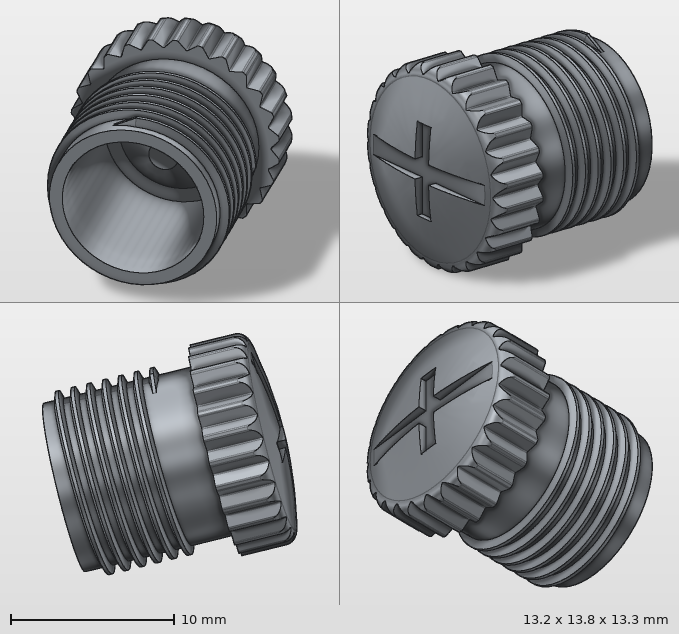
import cadquery as cq
import math


head_radius = 6.65
tooth_count = 26
tooth_root_radius = 6.07
tooth_tip_half_width = 0.15
tooth_tip_rounding = 0.15
tooth_root_rounding = 0.08
dome_apex_height = 4.235
rim_height = 3.55
rim_rounding = 0.75

slot_width = 1.33
slot_floor_height = 3.65
short_slot_length = 6.2

shank_length = 9.6
shank_radius = 5.32
bore_radius = 4.5
bore_floor_height = 0.0

cone_base_radius = 3.58
cone_tip_radius = 0.94
cone_height = cone_base_radius - cone_tip_radius

thread_radius = 5.85
thread_pitch = 1.0
thread_turns = 6.25
thread_crest_width = 0.22
thread_base_width = 0.58
thread_embed = 0.15
thread_start_height = -8.8
runout_length = 1.55
runout_drop = 0.78


def polar(radius, angle):
    return radius * math.cos(angle), radius * math.sin(angle)


def make_head_blank():
    """Disc with a rounded rim and a shallow dome spanning the flat inside that rim."""
    dome_edge_radius = head_radius - rim_rounding
    sag = dome_apex_height - rim_height
    dome_radius = (dome_edge_radius**2 + sag**2) / (2 * sag)
    mid_radius = dome_edge_radius / 2
    mid_drop = dome_radius - math.sqrt(dome_radius**2 - mid_radius**2)
    arc_offset = rim_rounding * math.sin(math.pi / 4)
    rim_middle = (dome_edge_radius + arc_offset, rim_height - rim_rounding + arc_offset)
    profile = (
        cq.Workplane("XZ")
        .lineTo(head_radius, 0)
        .lineTo(head_radius, rim_height - rim_rounding)
        .threePointArc(rim_middle, (dome_edge_radius, rim_height))
        .threePointArc((mid_radius, dome_apex_height - mid_drop), (0, dome_apex_height))
        .close()
    )
    return profile.revolve(360, (0, 0, 0), (0, 1, 0))


def make_tooth_prism():
    """Toothed prism with rounded tips and roots; one tooth points along local +Y."""
    pitch_angle = 2 * math.pi / tooth_count
    tip_angle = math.atan2(tooth_tip_half_width, head_radius)
    tip_corner_radius = math.hypot(tooth_tip_half_width, head_radius)
    points = []
    for index in range(tooth_count):
        centre = math.pi / 2 + index * pitch_angle
        points.append(polar(tooth_root_radius, centre - pitch_angle / 2))
        points.append(polar(tip_corner_radius, centre - tip_angle))
        points.append(polar(tip_corner_radius, centre + tip_angle))
    prism = cq.Workplane("XY").polyline(points).close().extrude(dome_apex_height)

    middle_radius = (head_radius + tooth_root_radius) / 2

    def is_tip(edge):
        centre = edge.Center()
        return math.hypot(centre.x, centre.y) > middle_radius

    def is_sharp_root(edge):
        centre = edge.Center()
        return math.hypot(centre.x, centre.y) < tooth_root_radius + tooth_root_rounding / 2

    prism = prism.edges("|Z").filter(is_tip).fillet(tooth_tip_rounding)
    return prism.edges("|Z").filter(is_sharp_root).fillet(tooth_root_rounding)


def make_slots():
    """Slot across the whole dome, crossed by a shorter one of the same width and floor."""
    slot_depth = dome_apex_height - slot_floor_height
    plane = cq.Workplane("XY").workplane(offset=slot_floor_height)
    long_slot = plane.rect(2 * head_radius, slot_width).extrude(slot_depth)
    short_slot = plane.rect(slot_width, short_slot_length).extrude(slot_depth)
    return long_slot.union(short_slot)


def make_shank():
    return cq.Workplane("XY").workplane(offset=-shank_length).circle(shank_radius).extrude(shank_length)


def make_bore():
    """Blind bore with the sealing cone left standing on its floor."""
    depth = shank_length + bore_floor_height
    bore = cq.Workplane("XY").workplane(offset=-shank_length).circle(bore_radius).extrude(depth)
    cone = cq.Solid.makeCone(
        cone_base_radius,
        cone_tip_radius,
        cone_height,
        cq.Vector(0, 0, bore_floor_height),
        cq.Vector(0, 0, -1),
    )
    return bore.cut(cq.Workplane(obj=cone))


def thread_profile(height):
    """Trapezoid in the local XZ plane, its flanks carried on below the shank surface."""
    flank_slope = (thread_base_width - thread_crest_width) / 2 / (thread_radius - shank_radius)
    root_radius = shank_radius - thread_embed
    root_half = thread_base_width / 2 + flank_slope * thread_embed
    crest_half = thread_crest_width / 2
    return cq.Workplane("XZ").polyline([
        (root_radius, height - root_half),
        (thread_radius, height - crest_half),
        (thread_radius, height + crest_half),
        (root_radius, height + root_half),
    ]).close()


def make_runout(height, direction):
    """Straight thread end that sinks into the shank; direction is -1 at the start, 1 at the end."""
    face = cq.Face.makeFromWires(thread_profile(height).wires().val())
    path = cq.Vector(-runout_drop, direction * runout_length, 0)
    return cq.Workplane(obj=cq.Solid.extrudeLinear(face, path))


def make_thread():
    """Right-hand thread that starts on the local -Y side and runs out at both ends."""
    length = thread_turns * thread_pitch
    helix = cq.Wire.makeHelix(thread_pitch, length, shank_radius, cq.Vector(0, 0, thread_start_height))
    ridge = thread_profile(thread_start_height).sweep(cq.Workplane(obj=helix), isFrenet=True)
    start = make_runout(thread_start_height, -1)
    end = make_runout(thread_start_height + length, 1).rotate((0, 0, 0), (0, 0, 1), 360 * thread_turns)
    return [piece.rotate((0, 0, 0), (0, 0, 1), -90) for piece in (ridge, start, end)]


cap = make_head_blank().intersect(make_tooth_prism()).cut(make_slots())
cap = cap.union(make_shank())
for piece in make_thread():
    cap = cap.union(piece)
cap = cap.cut(make_bore())

result = cap.rotate((0, 0, 0), (1, 0, 0), -90)